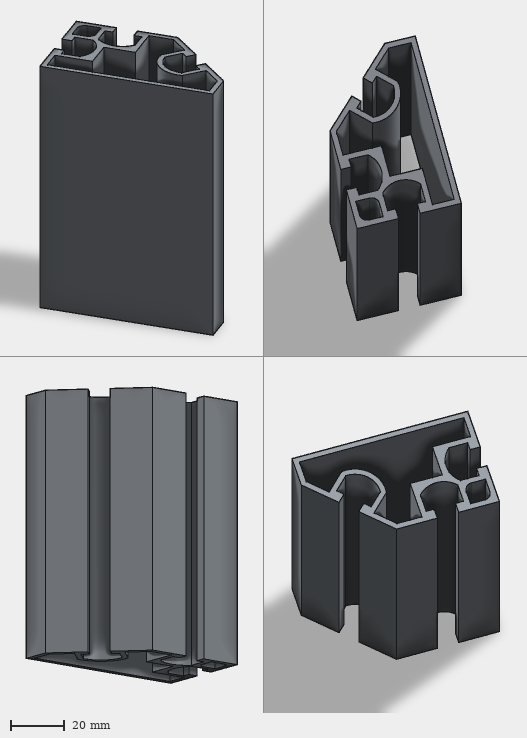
import cadquery as cq
import math

length = 100.0
module = 40.0
slope_angle = 45.0
wall = 2.2

slot_pitch = 20.0
slot_opening = 8.3
lip_depth = 4.0
slot_width = 14.5
slot_straight = 11.2
slot_depth = 14.5
slot_block_depth = 17.0

corner_web = 2.2
corner_radius = 3.0

slope_run = module * math.sin(math.radians(slope_angle))
width = module + slope_run
right_height = module - slope_run

floor_sagitta = slot_depth - slot_straight
floor_radius = ((slot_width / 2) ** 2 + floor_sagitta ** 2) / (2 * floor_sagitta)
floor_center_depth = slot_depth - floor_radius


def extrude_points(points):
    return cq.Workplane("XY").polyline(points).close().extrude(length)


def place_on_face(shape, x, y, angle):
    """Move a shape made at the origin, with -Y inward, onto a face turned by angle."""
    return shape.rotate((0, 0, 0), (0, 0, 1), angle).translate((x, y, 0))


def round_bottom(half_width, straight, depth):
    """Channel from the face inward, ending in a round floor."""
    return (
        cq.Workplane("XY")
        .moveTo(-half_width, 0)
        .lineTo(-half_width, -straight)
        .threePointArc((0, -depth), (half_width, -straight))
        .lineTo(half_width, 0)
        .close()
        .extrude(length)
    )


def slot_cut():
    channel = round_bottom(slot_width / 2, slot_straight, slot_depth)
    lips = cq.Workplane("XY").rect(2 * slot_width, 2 * lip_depth).extrude(length)
    opening = cq.Workplane("XY").rect(slot_opening, 2 * lip_depth).extrude(length)
    return channel.cut(lips).union(opening)


def slot_shell():
    """Wall of even thickness around the slot on the sloped face."""
    half_width = slot_width / 2 + wall
    outer_radius = floor_radius + wall
    straight = floor_center_depth + math.sqrt(outer_radius ** 2 - half_width ** 2)
    return round_bottom(half_width, straight, slot_depth + wall)


def hollow_cavity():
    """Inside of the outer walls, stepped around the left and top slots."""
    bend = wall * math.tan(math.radians(slope_angle / 2))
    block_end = slot_pitch + slot_width / 2 + wall
    return extrude_points([
        (wall, wall),
        (width - wall, wall),
        (width - wall, right_height - bend),
        (module - bend, module - wall),
        (block_end, module - wall),
        (block_end, module - slot_block_depth),
        (slot_block_depth, module - slot_block_depth),
        (slot_block_depth, module - block_end),
        (wall, module - block_end),
    ])


def corner_channel():
    """Closed channel in the corner between the left and top faces."""
    side = slot_pitch - slot_width / 2 - corner_web - wall
    channel = (
        cq.Workplane("XY")
        .rect(side, side)
        .extrude(length)
        .translate((wall + side / 2, module - wall - side / 2, 0))
    )
    for corner in ("<(1, -1, 0)", ">(1, -1, 0)"):
        channel = channel.edges("|Z").edges(corner).fillet(corner_radius)
    return channel


body = extrude_points([
    (0, 0),
    (width, 0),
    (width, right_height),
    (module, module),
    (0, module),
])

slope_face = (module + slope_run / 2, module - slope_run / 2, -slope_angle)
top_face = (slot_pitch, module, 0)
left_face = (0, module - slot_pitch, 90)

result = body.cut(hollow_cavity().cut(place_on_face(slot_shell(), *slope_face)))
result = result.cut(corner_channel())
for face in (top_face, left_face, slope_face):
    result = result.cut(place_on_face(slot_cut(), *face))